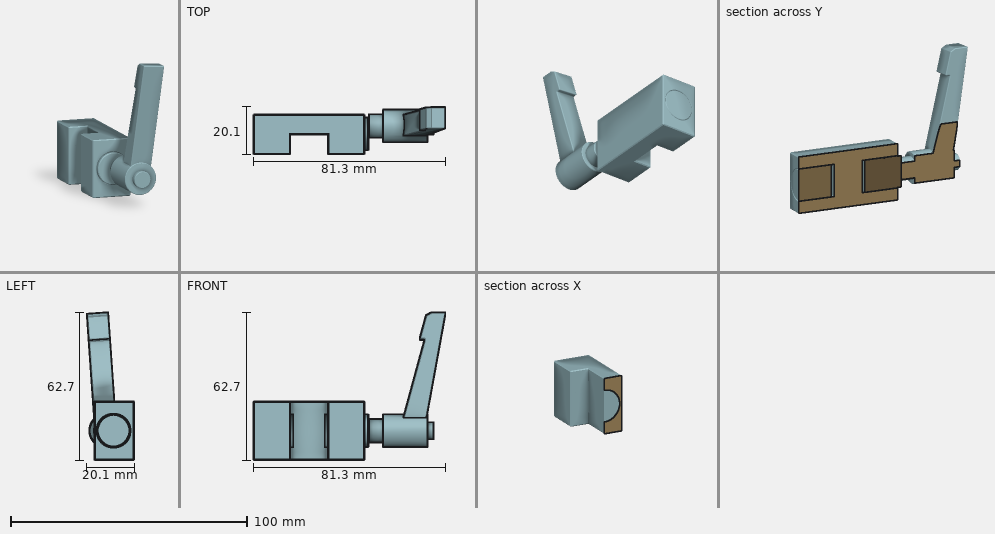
import cadquery as cq
import math


block_length = 47.1
block_depth = 17.0
block_height = 25.0
block_chamfer = 0.4
slot_width = 15.7
slot_depth = 8.4
slot_left = (block_length - slot_width) / 2
slot_right = slot_left + slot_width

plug_radius = 7.0
plug_y = 0.25
plug_chamfer = 0.3
bore_chamfer = 0.25
plug_overhang = 1.7
bore_overrun = 1.1

lever_y = 3.6
lever_tilt = 4.0
neck_radius = 5.0
neck_length = 6.0
neck_chamfer = 0.25
hub_radius = 7.0
hub_length = 19.0
hub_chamfer = 0.25
button_radius = 3.65
button_length = 2.6
button_chamfer = 0.25
neck_start = block_length + plug_overhang
hub_start = neck_start + neck_length
hub_end = hub_start + hub_length

arm_width = 9.2
arm_fillet = 0.4
arm_top_height = 50.0
arm_top_right = 81.4
arm_back_lean = 10.3
arm_front_lean = 15.2
arm_front_foot = 61.95
notch_height = 38.7
grip_step = 2.2
tip_bevel_width = 2.3
tip_bevel_height = 1.2


def x_cylinder(start, length, radius, y):
    """A cylinder along +X at the given Y, centred on Z = 0."""
    plane = cq.Workplane("YZ", origin=(start, y, 0))
    return plane.circle(radius).extrude(length)


def make_block():
    """A block with a slot across its front, and a bore through each leg."""
    block = cq.Workplane("XY").box(block_length, block_depth, block_height, centered=(False, True, True))
    slot = cq.Workplane("XY").box(slot_width, slot_depth, block_height, centered=(False, False, True))
    block = block.cut(slot.translate((slot_left, -block_depth / 2, 0)))

    slot_floor_y = slot_depth - block_depth / 2
    slot_corners = cq.selectors.BoxSelector(
        (slot_left - block_chamfer, slot_floor_y - block_chamfer, -block_chamfer),
        (slot_right + block_chamfer, slot_floor_y + block_chamfer, block_chamfer),
    )
    block = block.edges(-slot_corners).chamfer(block_chamfer)

    left_bore = x_cylinder(0, slot_left + bore_overrun, plug_radius, plug_y)
    right_bore_start = slot_right - bore_overrun
    right_bore = x_cylinder(right_bore_start, block_length - right_bore_start, plug_radius, plug_y)
    block = block.cut(left_bore).cut(right_bore)
    bore_mouths = block.faces("<X or >X").edges("%CIRCLE")
    return bore_mouths.chamfer(bore_chamfer)


def make_plug(start, end):
    """A plug from the slot wall to its outer end."""
    plug = x_cylinder(start, end - start, plug_radius, plug_y)
    outer_end = "<X" if start == 0 else ">X"
    return plug.faces(outer_end).chamfer(plug_chamfer)


def front_x(height):
    """X of the lower front face of the arm."""
    return arm_front_foot + height * math.tan(math.radians(arm_front_lean))


def make_arm():
    """An upright arm with a stepped, bevelled grip; its foot is sunk to the hub axis."""
    back_run = arm_top_height * math.tan(math.radians(arm_back_lean))
    bevel_foot = arm_top_height - tip_bevel_height
    bevel_x = front_x(bevel_foot) - grip_step
    outline = [
        (front_x(0), 0),
        (front_x(notch_height), notch_height),
        (front_x(notch_height) - grip_step, notch_height),
        (bevel_x, bevel_foot),
        (bevel_x + tip_bevel_width, arm_top_height),
        (arm_top_right, arm_top_height),
        (arm_top_right - back_run, 0),
    ]
    arm = cq.Workplane("XZ", origin=(0, lever_y, 0)).polyline(outline).close()
    arm = arm.extrude(arm_width / 2, both=True)
    return arm.edges("not <Z").fillet(arm_fillet)


def make_lever():
    """Neck, hub, button and arm as one solid, tilted about the hub axis."""
    neck = x_cylinder(neck_start, neck_length, neck_radius, lever_y)
    neck = neck.faces("<X").chamfer(neck_chamfer)
    hub = x_cylinder(hub_start, hub_length, hub_radius, lever_y)
    hub = hub.faces("<X or >X").chamfer(hub_chamfer)
    button = x_cylinder(hub_end, button_length, button_radius, lever_y)
    button = button.faces(">X").chamfer(button_chamfer)
    lever = hub.union(make_arm()).union(neck).union(button)
    return lever.rotate((0, lever_y, 0), (1, lever_y, 0), -lever_tilt)


block = make_block()
plug_spans = [(0, slot_left), (slot_right, neck_start)]
plugs = [make_plug(start, end) for start, end in plug_spans]
lever = make_lever()

result = cq.Compound.makeCompound([block.val(), *[plug.val() for plug in plugs], lever.val()])